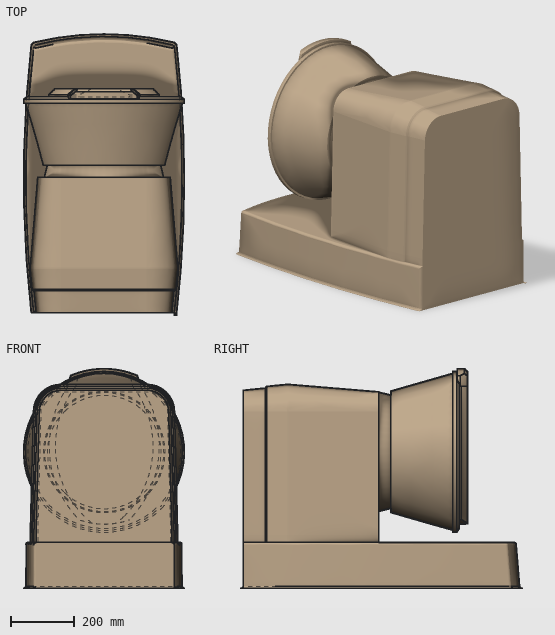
import cadquery as cq
import math


base_height = 145.0
base_half_width = 246.0
base_end_half_width = 221.0
base_side_length = 842.0
base_front_bulge = 28.0
base_front_lean = 11.5
base_edge_radius = 9.0
foot_reach = 7.0
foot_thickness = 1.0
foot_cove_radius = 6.0

housing_front = 427.0
housing_front_land = 6.0
housing_shoulder_height = 554.0
housing_shoulder_half_width = 134.0
housing_side_lean = math.radians(1.5)
housing_skirt_height = 24.0
housing_stations = [
    (0, 69.0),
    (70.0, 76.0),
    (74.0, 81.0),
    (138.0, 87.5),
    (143.0, 87.5),
    (housing_front - housing_front_land, 64.5),
    (housing_front, 64.5),
]

drum_axis_height = 430.0
neck_rear_radius = 187.5
neck_front_radius = 179.0
cone_start = 464.0
cone_rear_radius = 191.0
cone_front_radius = 247.0
rim_start = 659.0
rim_front = 680.0
rim_radius = 253.0
rim_chamfer_depth = 8.0
rim_chamfer_height = 12.0

door_front = 706.0
door_half_width = 173.0
door_widest_height = 442.0
door_bottom_radius = 227.0
door_bottom_half_width = 80.0
door_side_bevel = 19.5
door_top_half_width = 114.0
door_top_height = 637.0

tab_radius = 262.0
tab_back = 673.0
tab_half_width = 105.0
tab_front_chamfer = 10.0
tab_side_bevel = 23.0


def base_outline(height, front_shift, reach):
    """Closed outline with bulging sides and front, set out by reach; front_shift moves the front back."""
    front_corner = base_side_length - front_shift + reach
    middle = base_side_length / 2
    half = base_end_half_width + reach
    widest = base_half_width + reach
    return (
        cq.Workplane("XY", origin=(0, 0, height))
        .moveTo(-half, -reach)
        .lineTo(half, -reach)
        .threePointArc((widest, middle), (half, front_corner))
        .threePointArc((0, front_corner + base_front_bulge), (-half, front_corner))
        .threePointArc((-widest, middle), (-half, -reach))
        .close()
    )


def make_base():
    floor_wire = base_outline(0, 0, 0).wires().val()
    top_wire = base_outline(base_height, base_front_lean, 0).wires().val()
    walls = cq.Workplane(cq.Solid.makeLoft([floor_wire, top_wire], True))
    uprights = walls.edges().filter(lambda e: abs(e.endPoint().z - e.startPoint().z) > base_height / 2)
    top_edges = walls.faces(">Z").edges("not <Y")
    walls = uprights.edges("<X or >Y").add(top_edges).fillet(base_edge_radius)

    foot = base_outline(0, 0, foot_reach).extrude(foot_thickness)
    foot = foot.edges("|Z").edges("<X or >Y").fillet(base_edge_radius + foot_reach)
    body = walls.union(foot)
    ledge = body.faces("|Z").faces("<Z[1]").val()
    body = body.newObject(ledge.innerWires()[0].Edges()).fillet(foot_cove_radius)
    foot_height = foot_thickness + foot_cove_radius
    behind = (
        cq.Workplane("XY")
        .box(2 * base_half_width, 2 * foot_reach, foot_height, centered=(True, False, False))
        .translate((base_end_half_width - base_half_width, -2 * foot_reach, 0))
    )
    return body.cut(behind).solids()


def housing_section(y, radius):
    """Arched cross-section at depth y whose top corners have the given radius."""
    shoulder = housing_shoulder_half_width
    corner_z = housing_shoulder_height
    side = shoulder + radius * math.cos(housing_side_lean)
    side_z = corner_z + radius * math.sin(housing_side_lean)
    skirt_top = base_height + housing_skirt_height
    foot_side = side + (side_z - skirt_top) * math.tan(housing_side_lean)
    diagonal = radius * math.sqrt(0.5)
    return (
        cq.Workplane("XZ", origin=(0, y, 0))
        .moveTo(-foot_side, base_height)
        .lineTo(-foot_side, skirt_top)
        .lineTo(-side, side_z)
        .threePointArc((-shoulder - diagonal, corner_z + diagonal), (-shoulder, corner_z + radius))
        .lineTo(shoulder, corner_z + radius)
        .threePointArc((shoulder + diagonal, corner_z + diagonal), (side, side_z))
        .lineTo(foot_side, skirt_top)
        .lineTo(foot_side, base_height)
        .close()
        .wires()
        .val()
    )


def make_housing():
    sections = [housing_section(y, radius) for y, radius in housing_stations]
    return cq.Workplane(cq.Solid.makeLoft(sections, True))


def revolve_about_drum_axis(profile):
    """Solid of revolution from (Y, radius) points about the drum axis."""
    return (
        cq.Workplane("YZ", origin=(0, 0, drum_axis_height))
        .polyline(profile)
        .close()
        .revolve(360, (0, 0, 0), (1, 0, 0))
    )


def make_drum_shell():
    return revolve_about_drum_axis([
        (housing_front, 0),
        (housing_front, neck_rear_radius),
        (cone_start, neck_front_radius),
        (cone_start, cone_rear_radius),
        (rim_start, cone_front_radius),
        (rim_start, rim_radius),
        (rim_front - rim_chamfer_depth, rim_radius),
        (rim_front, rim_radius - rim_chamfer_height),
        (rim_front, 0),
    ])


def make_door():
    bottom_drop = math.sqrt(door_bottom_radius**2 - door_bottom_half_width**2)
    corner_z = drum_axis_height - bottom_drop
    plate = (
        cq.Workplane("XZ", origin=(0, door_front, 0))
        .moveTo(-door_top_half_width, door_top_height)
        .lineTo(door_top_half_width, door_top_height)
        .threePointArc((door_half_width, door_widest_height), (door_bottom_half_width, corner_z))
        .threePointArc((0, drum_axis_height - door_bottom_radius), (-door_bottom_half_width, corner_z))
        .threePointArc((-door_half_width, door_widest_height), (-door_top_half_width, door_top_height))
        .close()
        .extrude(door_front - rim_front)
    )
    return plate.faces(">Y").edges("<X or >X").chamfer(door_side_bevel)


def make_tab():
    ring = revolve_about_drum_axis([
        (tab_back, 0),
        (tab_back, tab_radius),
        (door_front - tab_front_chamfer, tab_radius),
        (door_front, tab_radius - tab_front_chamfer),
        (door_front, 0),
    ])
    arc_end_z = drum_axis_height + math.sqrt(tab_radius**2 - tab_half_width**2)
    taper = (door_top_half_width - tab_half_width) / (arc_end_z - door_top_height)
    top_z = drum_axis_height + tab_radius
    top_half_width = door_top_half_width - taper * (top_z - door_top_height)
    window = (
        cq.Workplane("XZ", origin=(0, door_front, 0))
        .moveTo(-door_top_half_width, door_top_height)
        .lineTo(door_top_half_width, door_top_height)
        .lineTo(top_half_width, top_z)
        .lineTo(-top_half_width, top_z)
        .close()
        .extrude(door_front - tab_back)
    )
    window = window.faces(">Y").edges("<X or >X").chamfer(tab_side_bevel)
    return ring.intersect(window)


def make_drum():
    return make_drum_shell().union(make_door()).union(make_tab()).solids()


base = make_base()
housing = make_housing()
drum = make_drum()

result = cq.Compound.makeCompound([base.val(), housing.val(), drum.val()])